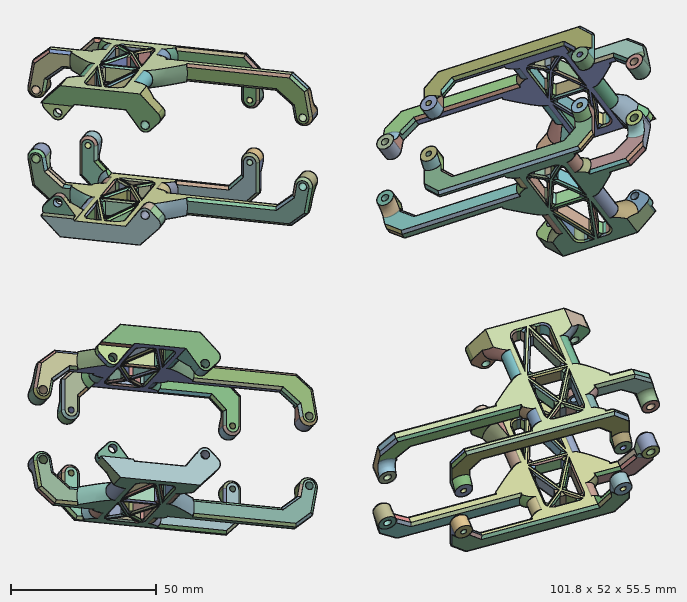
import cadquery as cq
import math

total_length = 101.8
total_depth = 52.0
total_height = 55.5
bar_height = 6.4
round_radius = bar_height / 2
top_z = total_height / 2
bottom_z = top_z - bar_height
edge_chamfer = 1.0
past = 1.0

arm_front_y = 5.8
arm_back_y = 10.0
arm_boss_y = 13.0
arm_pin_x = (total_length - bar_height) / 2
arm_pin_z = 12.6
arm_leg_tilt = math.radians(10)
arm_shoulder_x = 43.3
arm_knee_z = 22.8
arm_inner_shoulder_x = 37.9
arm_inner_knee_z = 16.5
arm_boss_fillet = arm_boss_y - arm_back_y
arm_left_hole = 3.1
arm_right_hole = 2.7

short_front_y = 20.1
short_back_y = 23.1
short_boss_y = total_depth / 2
short_center_x = -4.4
short_pin_offset = 28.9
short_pin_z = 11.4
short_corner_cut = 5.0
short_gusset = 4.7
short_boss_slope = math.radians(32)
short_hole = 2.1

frame_center_x = -15.4
plate_front_y = -total_depth / 2
plate_back_y = -20.1
plate_top_half = 14.3
plate_inner_half = 9.2
plate_pin_offset = 16.1
plate_pin_z = 16.5
plate_leg_radius = 2.5
plate_hole = 3.1
plate_recess_depth = 3.0
plate_recess_z = 20.7

frame_width = 24.5
tube_offset = (frame_width - bar_height) / 2
left_tube_x = frame_center_x - tube_offset
right_tube_x = frame_center_x + tube_offset
tube_z = top_z - round_radius
plate_flare_length = 5.1
arm_left_flare_length = 7.9
arm_right_flare_length = 9.6
arm_back_flare_length = 2.0
short_flare_length = 2.0

window_half_width = 7.3
window_back_y = 18.5
window_front_y = -22.6
window_radius = 3.2
strut_half_top = 0.4
lattice_chamfer = 0.6
corner_trim = 1.4
crossing_y = 12.1
cross_strut_y = -2.0


def plan(y):
    """XZ sketch plane at depth y; extruding runs toward -Y."""
    return cq.Workplane("XZ", origin=(0, y, 0))


def flare(x, y_start, y_end):
    """45 degree cone that widens from a tube toward the bar at y_end."""
    end_radius = round_radius + abs(y_end - y_start)
    direction = cq.Vector(0, math.copysign(1, y_end - y_start), 0)
    return cq.Workplane(cq.Solid.makeCone(
        round_radius, end_radius, abs(y_end - y_start), cq.Vector(x, y_start, tube_z), direction))


def flare_root(x, flare_length, y_front, y_back):
    """Disc that carries a flare's wide end through the bar's edge bevel."""
    return plan(y_back).center(x, tube_z).circle(round_radius + flare_length).extrude(y_back - y_front)


def pin_hole(x, z, diameter, y_front, y_back):
    """Cutter for a hole along Y that runs past both faces."""
    return plan(y_back + past).center(x, z).circle(diameter / 2).extrude(y_back - y_front + 2 * past)


def chamfer_arm(arm, pin_z):
    """Bevel the whole front outline, and the back outline except along the legs' sides and tips."""
    leg_end_z = pin_z + round_radius
    arm = arm.faces("<Y").edges().chamfer(edge_chamfer)
    back_edges = arm.faces(">Y").edges().filter(lambda edge: edge.BoundingBox().zmin > leg_end_z)
    return back_edges.chamfer(edge_chamfer)


def long_arm_blank(y_front, y_back):
    """Bar that bends down at both ends into tilted, round-ended legs, without bevels or bosses."""
    along = (math.sin(arm_leg_tilt), -math.cos(arm_leg_tilt))
    across = (math.cos(arm_leg_tilt), math.sin(arm_leg_tilt))
    outer = (arm_pin_x + round_radius * across[0], arm_pin_z + round_radius * across[1])
    inner = (arm_pin_x - round_radius * across[0], arm_pin_z - round_radius * across[1])
    tip = (arm_pin_x + round_radius * along[0], arm_pin_z + round_radius * along[1])
    slope = math.tan(arm_leg_tilt)
    knee = (outer[0] - (arm_knee_z - outer[1]) * slope, arm_knee_z)
    inner_knee = (inner[0] - (arm_inner_knee_z - inner[1]) * slope, arm_inner_knee_z)
    return (
        plan(y_back)
        .moveTo(0, top_z)
        .lineTo(arm_shoulder_x, top_z)
        .lineTo(*knee)
        .lineTo(*outer)
        .threePointArc(tip, inner)
        .lineTo(*inner_knee)
        .lineTo(arm_inner_shoulder_x, bottom_z)
        .lineTo(0, bottom_z)
        .mirrorY()
        .extrude(y_back - y_front)
    )


def make_long_arm():
    """Bevelled long arm with its tube flares and pin bosses, all kept within its own silhouette."""
    arm = chamfer_arm(long_arm_blank(arm_front_y, arm_back_y), arm_pin_z)

    additions = cq.Workplane()
    for x, length in ((left_tube_x, arm_left_flare_length), (right_tube_x, arm_right_flare_length)):
        additions = additions.add(flare(x, arm_front_y - length, arm_front_y))
        additions = additions.add(flare_root(x, length, arm_front_y, arm_front_y + edge_chamfer))
        additions = additions.add(flare(x, arm_back_y + arm_back_flare_length, arm_back_y))
        additions = additions.add(flare_root(x, arm_back_flare_length, arm_back_y - edge_chamfer, arm_back_y))

    fillet_middle = arm_boss_fillet * (1 - math.sqrt(0.5))
    for x in (-arm_pin_x, arm_pin_x):
        boss = (
            cq.Workplane("XY", origin=(x, 0, arm_pin_z))
            .moveTo(0, arm_front_y + edge_chamfer)
            .lineTo(round_radius, arm_front_y + edge_chamfer)
            .lineTo(round_radius, arm_back_y - edge_chamfer)
            .lineTo(round_radius + arm_boss_fillet, arm_back_y - edge_chamfer)
            .lineTo(round_radius + arm_boss_fillet, arm_back_y)
            .threePointArc((round_radius + fillet_middle, arm_back_y + fillet_middle),
                           (round_radius, arm_boss_y))
            .lineTo(0, arm_boss_y)
            .close()
            .revolve(360, (0, 0, 0), (0, 1, 0))
        )
        additions = additions.add(boss)

    envelope = long_arm_blank(plate_front_y, short_boss_y)
    return arm.union(additions.combine().intersect(envelope))


def short_arm_blank(y_front, y_back):
    """Bar with cut corners and two upright, gusseted legs, without bevels or bosses."""
    half_length = short_pin_offset + round_radius
    inner_x = short_pin_offset - round_radius
    return (
        cq.Workplane("XZ", origin=(short_center_x, y_back, 0))
        .moveTo(0, top_z)
        .lineTo(half_length - short_corner_cut, top_z)
        .lineTo(half_length, top_z - short_corner_cut)
        .lineTo(half_length, short_pin_z)
        .threePointArc((short_pin_offset, short_pin_z - round_radius), (inner_x, short_pin_z))
        .lineTo(inner_x, bottom_z - short_gusset)
        .lineTo(inner_x - short_gusset, bottom_z)
        .lineTo(0, bottom_z)
        .mirrorY()
        .extrude(y_back - y_front)
    )


def make_short_arm():
    """Bevelled short arm with its tube flares and tapered pin bosses."""
    arm = chamfer_arm(short_arm_blank(short_front_y, short_back_y), short_pin_z)
    additions = cq.Workplane()
    for x in (left_tube_x, right_tube_x):
        additions = additions.add(flare(x, short_front_y - short_flare_length, short_front_y))
        additions = additions.add(
            flare_root(x, short_flare_length, short_front_y, short_front_y + edge_chamfer))

    boss_height = short_boss_y - short_back_y
    root_radius = round_radius + boss_height * math.tan(short_boss_slope)
    for side in (-1, 1):
        root = cq.Vector(short_center_x + side * short_pin_offset, short_back_y, short_pin_z)
        additions = additions.add(cq.Workplane(cq.Solid.makeCone(
            root_radius, round_radius, boss_height, root, cq.Vector(0, 1, 0))))
    envelope = short_arm_blank(plate_front_y, short_boss_y)
    return arm.union(additions.combine().intersect(envelope))


def plate_blank(y_front, y_back):
    """Bar with two pointed legs; its outer corners and leg tips are round."""
    run = plate_pin_offset - plate_inner_half
    rise = plate_pin_z - bottom_z
    tangent_angle = math.atan2(rise, run) - math.asin(plate_leg_radius / math.hypot(run, rise))
    side_offset = plate_pin_offset - plate_pin_z + plate_leg_radius * math.sqrt(2)
    slope = math.tan(tangent_angle)
    tip_x = (bottom_z - slope * plate_inner_half + side_offset) / (1 - slope)
    corner_x = (plate_top_half + top_z + side_offset) / 2
    points = [
        (plate_top_half, top_z),
        (corner_x, corner_x - side_offset),
        (tip_x, tip_x - side_offset),
        (plate_inner_half, bottom_z),
    ]
    mirrored = [(-x, z) for x, z in reversed(points)]
    return (
        cq.Workplane("XZ", origin=(frame_center_x, y_back, 0))
        .polyline(points + mirrored)
        .close()
        .extrude(y_back - y_front)
        .edges("|Y")
        .filter(lambda edge: edge.Center().z < plate_recess_z)
        .fillet(plate_leg_radius)
    )


def make_front_plate():
    """Front plate with its left leg recessed at the front, and the flares that meet the tubes."""
    plate = plate_blank(plate_front_y, plate_back_y)
    recess = cq.Workplane("XY").box(
        total_length, plate_recess_depth, total_height, centered=False
    ).translate((frame_center_x - total_length, plate_front_y, plate_recess_z - total_height))
    plate = plate.cut(recess)
    flares = flare(left_tube_x, plate_back_y + plate_flare_length, plate_back_y).union(
        flare(right_tube_x, plate_back_y + plate_flare_length, plate_back_y))
    return plate.union(flares.intersect(plate_blank(plate_front_y, short_boss_y)))


def make_frame():
    """Flat slab with fully round sides, running from the plate to the short arm."""
    depth = short_front_y + edge_chamfer - plate_back_y
    return (
        plan(short_front_y + edge_chamfer)
        .center(frame_center_x, tube_z)
        .slot2D(frame_width, bar_height)
        .extrude(depth)
    )


def inset_corners(corners, distance):
    """Corners of a counter-clockwise polygon moved inward by distance."""
    moved = []
    for i, point in enumerate(corners):
        before, after = cq.Vector(*corners[i - 1]), cq.Vector(*corners[(i + 1) % len(corners)])
        here = cq.Vector(*point)
        into = (here - before).normalized()
        out = (after - here).normalized()
        sine = into.x * out.y - into.y * out.x
        shift = (out - into).multiply(distance / sine)
        moved.append((here.x + shift.x, here.y + shift.y))
    return moved


def cut_corners(corners):
    """Two points per corner, one on each side of it."""
    points = []
    for i, point in enumerate(corners):
        here = cq.Vector(*point)
        to_before = (cq.Vector(*corners[i - 1]) - here).normalized()
        to_after = (cq.Vector(*corners[(i + 1) % len(corners)]) - here).normalized()
        for direction in (to_before, to_after):
            spot = here + direction.multiply(corner_trim)
            points.append((spot.x, spot.y))
    return points


def polygon_face(points):
    """Flat face bounded by a closed polygon."""
    return cq.Face.makeFromWires(cq.Wire.makePolygon([cq.Vector(*p) for p in points], close=True))


def lattice_opening(nodes):
    """Cutter for one opening: a throat with cut corners that bevels out to sharp corners at both ends."""
    rim = [(x, y, top_z) for x, y in inset_corners(nodes, strut_half_top)]
    throat_outline = cut_corners(inset_corners(nodes, strut_half_top + lattice_chamfer))
    throat = [(x, y, top_z - lattice_chamfer) for x, y in throat_outline]
    faces = [polygon_face(rim), polygon_face(throat)]
    for i in range(len(rim)):
        following = (i + 1) % len(rim)
        faces.append(polygon_face([rim[i], throat[2 * i], throat[2 * i + 1]]))
        faces.append(polygon_face([rim[i], throat[2 * i + 1], throat[2 * following], rim[following]]))
    bevel = cq.Workplane(cq.Solid.makeSolid(cq.Shell.makeShell(faces)))
    lower_bevel = bevel.mirror("XY").translate((0, 0, 2 * tube_z))
    passage = (
        cq.Workplane("XY", origin=(0, 0, bottom_z + lattice_chamfer))
        .polyline(throat_outline)
        .close()
        .extrude(bar_height - 2 * lattice_chamfer)
    )
    return passage.union(bevel).union(lower_bevel)


def make_window():
    """Lattice openings, kept inside a rounded window with bevelled rims."""
    left = frame_center_x - window_half_width - strut_half_top
    right = frame_center_x + window_half_width + strut_half_top
    back = window_back_y + strut_half_top
    front = window_front_y - strut_half_top
    crossing = (frame_center_x, crossing_y)
    foot = (frame_center_x, front)
    raised_foot = (frame_center_x, window_front_y)
    openings = [
        [(left, back), crossing, (right, back)],
        [(left, back), (left, cross_strut_y), crossing],
        [(right, back), crossing, (right, cross_strut_y)],
        [crossing, (left, cross_strut_y), (right, cross_strut_y)],
        [(left, cross_strut_y), raised_foot, (right, cross_strut_y)],
        [(left, cross_strut_y), (left, front), foot],
        [(right, cross_strut_y), foot, (right, front)],
    ]
    lattice = cq.Workplane()
    for nodes in openings:
        lattice = lattice.add(lattice_opening(nodes))
    return lattice.combine().intersect(window_envelope())


def window_section(inset):
    """Rounded window rectangle, shrunk by inset on every side."""
    width = 2 * (window_half_width - inset)
    depth = window_back_y - window_front_y - 2 * inset
    return cq.Sketch().rect(width, depth).vertices().fillet(window_radius - inset)


def window_envelope():
    """Rounded window whose rim is bevelled at the top and the bottom."""
    rim = window_section(0)
    throat = window_section(lattice_chamfer)
    base = cq.Workplane("XY", origin=(frame_center_x, (window_back_y + window_front_y) / 2, bottom_z))
    bevel = base.placeSketch(rim, throat.moved(cq.Location(cq.Vector(0, 0, lattice_chamfer)))).loft()
    upper_bevel = bevel.mirror("XY").translate((0, 0, 2 * tube_z))
    return base.placeSketch(throat).extrude(bar_height).union(bevel).union(upper_bevel)


def make_bracket():
    """Upper bracket: frame, plate and both arms in one piece, with the window and pin holes cut."""
    bracket = make_frame().union(make_front_plate()).union(make_long_arm()).union(make_short_arm())
    bracket = bracket.cut(make_window())
    for x, diameter in ((-arm_pin_x, arm_left_hole), (arm_pin_x, arm_right_hole)):
        bracket = bracket.cut(pin_hole(x, arm_pin_z, diameter, arm_front_y, arm_boss_y))
    for side in (-1, 1):
        short_x = short_center_x + side * short_pin_offset
        bracket = bracket.cut(pin_hole(short_x, short_pin_z, short_hole, short_front_y, short_boss_y))
        plate_x = frame_center_x + side * plate_pin_offset
        bracket = bracket.cut(pin_hole(plate_x, plate_pin_z, plate_hole, plate_front_y, plate_back_y))
    return bracket


upper_bracket = make_bracket()
lower_bracket = upper_bracket.mirror("XY")

result = cq.Compound.makeCompound([upper_bracket.val(), lower_bracket.val()])